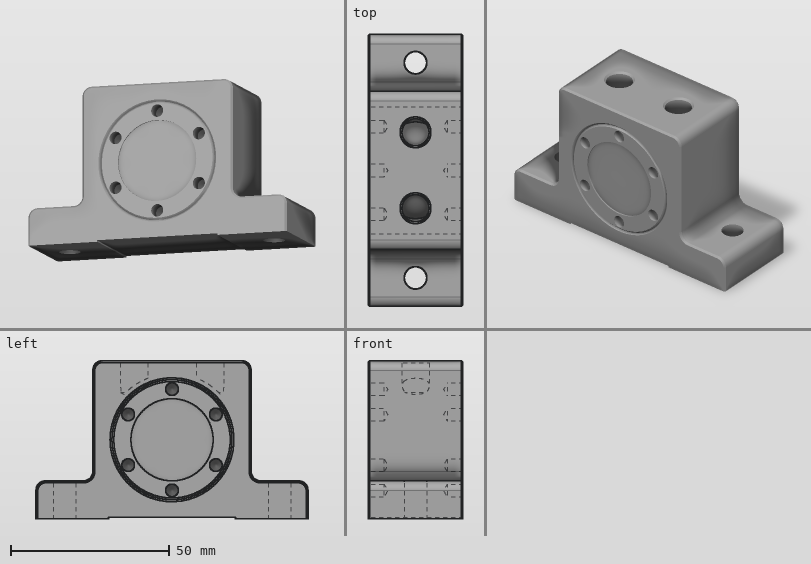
import cadquery as cq
import math

width = 30.0
foot_length = 86.0
foot_height = 12.0
block_length = 50.0
height = 50.0
corner_radius = 3.0
edge_chamfer = 0.6

relief_length = 40.0
relief_depth = 0.5

mount_hole_diameter = 7.0
mount_hole_offset = 34.0

drill_tip_angle = 118.0

port_diameter = 8.57
port_offset = 12.0
port_depth = 10.0
port_chamfer = 0.6

core_diameter = 42.0
core_height = height / 2

cover_diameter = 38.0
cover_groove_depth = 0.6
cover_recess_diameter = 26.0
cover_recess_depth = 0.5
pin_hole_count = 6
pin_hole_diameter = 4.0
pin_hole_circle_radius = 16.0
pin_hole_depth = 5.0


def cone_height(diameter, tip_angle):
    """Height of a full cone with the given base diameter and tip angle."""
    return diameter / 2 / math.tan(math.radians(tip_angle / 2))


def make_body():
    """Stepped block with rounded corners and chamfered outlines on its X faces."""
    foot = cq.Workplane("XY").box(width, foot_length, foot_height, centered=(True, True, False))
    block = cq.Workplane("XY").box(width, block_length, height, centered=(True, True, False))
    body = foot.union(block)
    body = body.edges("|X").edges("not <Z").fillet(corner_radius)
    return body.faces("<X or >X").edges("not <Z").chamfer(edge_chamfer)


def make_relief():
    """Shallow channel across the underside of the foot."""
    return cq.Workplane("XY").box(width, relief_length, relief_depth, centered=(True, True, False))


def make_mount_holes():
    """Pair of plain holes through the foot."""
    centers = [(0, -mount_hole_offset), (0, mount_hole_offset)]
    return cq.Workplane("XY").pushPoints(centers).circle(mount_hole_diameter / 2).extrude(foot_height)


def make_port(y):
    """Chamfered blind port with a drill-point end, stopped by the core."""
    radius = port_diameter / 2
    floor = height - port_depth
    port = (
        cq.Workplane("XZ")
        .moveTo(0, height)
        .lineTo(radius + port_chamfer, height)
        .lineTo(radius, height - port_chamfer)
        .lineTo(radius, floor)
        .lineTo(0, floor - cone_height(port_diameter, drill_tip_angle))
        .close()
        .revolve(360, (0, 0), (0, 1))
        .translate((0, y, 0))
    )
    core = (
        cq.Workplane("YZ")
        .center(0, core_height)
        .circle(core_diameter / 2)
        .extrude(width / 2, both=True)
    )
    return port.cut(core)


def make_cover_groove():
    """V-groove around the cover on the -X face."""
    radius = cover_diameter / 2
    face = -width / 2
    return (
        cq.Workplane("XY")
        .moveTo(face, radius - cover_groove_depth)
        .lineTo(face + cover_groove_depth, radius)
        .lineTo(face, radius + cover_groove_depth)
        .close()
        .revolve(360, (0, 0), (1, 0))
        .translate((0, 0, core_height))
    )


def make_cover_recess():
    """Shallow round recess in the middle of the cover on the -X face."""
    return (
        cq.Workplane("YZ", origin=(-width / 2, 0, core_height))
        .circle(cover_recess_diameter / 2)
        .extrude(cover_recess_depth)
    )


def make_pin_hole(angle):
    """Blind drilled hole in the cover on the -X face, at an angle in degrees from +Y."""
    y = pin_hole_circle_radius * math.cos(math.radians(angle))
    z = core_height + pin_hole_circle_radius * math.sin(math.radians(angle))
    radius = pin_hole_diameter / 2
    floor = -width / 2 + pin_hole_depth
    return (
        cq.Workplane("XY")
        .moveTo(-width / 2, 0)
        .lineTo(-width / 2, radius)
        .lineTo(floor, radius)
        .lineTo(floor + cone_height(pin_hole_diameter, drill_tip_angle), 0)
        .close()
        .revolve(360, (0, 0), (1, 0))
        .translate((0, y, z))
    )


def make_cover_cuts():
    """Everything cut from the -X face."""
    cuts = [make_cover_groove(), make_cover_recess()]
    for index in range(pin_hole_count):
        cuts.append(make_pin_hole(90 + index * 360 / pin_hole_count))
    return cuts


result = make_body().cut(make_relief()).cut(make_mount_holes())
for port_y in (-port_offset, port_offset):
    result = result.cut(make_port(port_y))
for cover_cut in make_cover_cuts():
    result = result.cut(cover_cut).cut(cover_cut.mirror("YZ"))